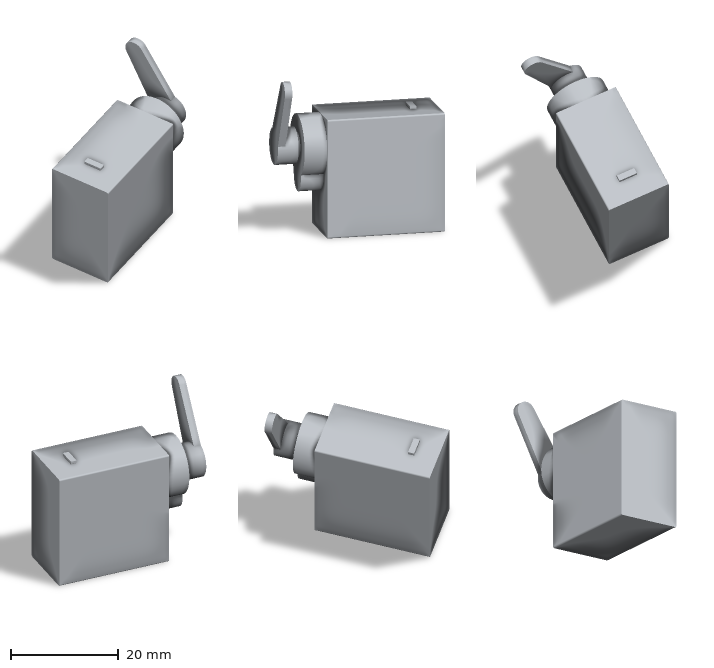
import cadquery as cq
import math

CASE_WIDTH = 12.42
CASE_DEPTH = 22.37
CASE_HEIGHT = 22.7
CASE_EDGE_RADIUS = 0.3

AXIS_X = -0.05
AXIS_Z = 16.75

BOSS_DIAMETER = 11.73
BOSS_LENGTH = 4.3
SMALL_BOSS_DIAMETER = 5.62
SMALL_BOSS_Z = 10.73

CABLE_WIDTH = 3.6
CABLE_THICKNESS = 1.2
CABLE_HEIGHT = 0.55
CABLE_Y = 4.95

SHAFT_DIAMETER = 4.93
SHAFT_LENGTH = 0.55

HUB_DIAMETER = 7.0
HUB_LENGTH = 3.95
ARM_THICKNESS = 1.45
ARM_TIP_RADIUS = 1.95
ARM_ROOT_RADIUS = 2.7
ARM_REACH = 14.0
ARM_TILT = 30.3

BOSS_END_Y = CASE_DEPTH + BOSS_LENGTH
HUB_START_Y = BOSS_END_Y + SHAFT_LENGTH
ARM_START_Y = HUB_START_Y + HUB_LENGTH - ARM_THICKNESS


def plane_at(y):
    """XZ sketch plane on the output axis, extruding toward +Y; local x points to -X."""
    return cq.Workplane(cq.Plane(origin=(AXIS_X, y, AXIS_Z), xDir=(-1, 0, 0), normal=(0, 1, 0)))


def make_case():
    shell = (
        cq.Workplane("XY")
        .box(CASE_WIDTH, CASE_DEPTH, CASE_HEIGHT, centered=(True, False, False))
        .edges("|Y")
        .fillet(CASE_EDGE_RADIUS)
    )
    main_boss = plane_at(CASE_DEPTH).circle(BOSS_DIAMETER / 2).extrude(BOSS_LENGTH)

    small_boss_drop = AXIS_Z - SMALL_BOSS_Z
    small_boss = (
        plane_at(CASE_DEPTH)
        .center(0, -small_boss_drop)
        .circle(SMALL_BOSS_DIAMETER / 2)
        .extrude(BOSS_LENGTH)
    )
    small_boss_sides = (
        plane_at(CASE_DEPTH)
        .center(0, -small_boss_drop / 2)
        .rect(SMALL_BOSS_DIAMETER, small_boss_drop)
        .extrude(BOSS_LENGTH)
    )

    cable_exit = (
        cq.Workplane("XY", origin=(AXIS_X, CABLE_Y, CASE_HEIGHT))
        .rect(CABLE_WIDTH, CABLE_THICKNESS)
        .extrude(CABLE_HEIGHT)
    )
    return shell.union(main_boss).union(small_boss).union(small_boss_sides).union(cable_exit)


def make_shaft():
    return plane_at(BOSS_END_Y).circle(SHAFT_DIAMETER / 2).extrude(SHAFT_LENGTH)


def make_horn():
    hub = plane_at(HUB_START_Y).circle(HUB_DIAMETER / 2).extrude(HUB_LENGTH)

    taper = math.asin((ARM_ROOT_RADIUS - ARM_TIP_RADIUS) / ARM_REACH)
    root_x = ARM_ROOT_RADIUS * math.cos(taper)
    root_z = ARM_ROOT_RADIUS * math.sin(taper)
    tip_x = ARM_TIP_RADIUS * math.cos(taper)
    tip_z = ARM_REACH + ARM_TIP_RADIUS * math.sin(taper)
    arm = (
        plane_at(ARM_START_Y)
        .moveTo(-root_x, root_z)
        .lineTo(-tip_x, tip_z)
        .threePointArc((0, ARM_REACH + ARM_TIP_RADIUS), (tip_x, tip_z))
        .lineTo(root_x, root_z)
        .close()
        .extrude(ARM_THICKNESS)
        .rotate((AXIS_X, 0, AXIS_Z), (AXIS_X, 1, AXIS_Z), -ARM_TILT)
    )
    return hub.union(arm)


case = make_case()
shaft = make_shaft()
horn = make_horn()

result = cq.Compound.makeCompound([case.val(), shaft.val(), horn.val()])